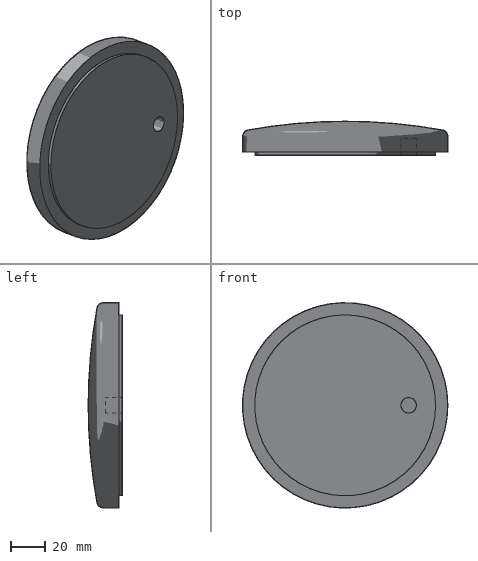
import cadquery as cq
import math

outer_radius = 120 / 2
total_thickness = 20.0

plate_radius = 105.6 / 2
plate_height = 2.0

rim_height = 9.0
edge_round = 4.0

hole_diameter = 9.0
hole_offset = 37.1
hole_depth = 10.0

rim_top = plate_height + rim_height
round_center = outer_radius - edge_round
apex_rise = total_thickness - rim_top
dome_radius = (round_center**2 + apex_rise**2 - edge_round**2) / (2 * (apex_rise - edge_round))
tangent_angle = math.asin(round_center / (dome_radius - edge_round))


def point_on_round(angle_from_axis):
    """Point of the edge round at an angle measured from the +Y direction."""
    return (
        round_center + edge_round * math.sin(angle_from_axis),
        rim_top + edge_round * math.cos(angle_from_axis),
    )


def point_on_dome(angle_from_axis):
    """Point of the dome at an angle measured from the +Y direction."""
    return (
        dome_radius * math.sin(angle_from_axis),
        total_thickness - dome_radius * (1 - math.cos(angle_from_axis)),
    )


def make_disc():
    """Revolve the half section of plate, rim and dome about the Y axis."""
    round_middle = point_on_round((tangent_angle + math.pi / 2) / 2)
    return (
        cq.Workplane("XY")
        .moveTo(0, 0)
        .lineTo(plate_radius, 0)
        .lineTo(plate_radius, plate_height)
        .lineTo(outer_radius, plate_height)
        .lineTo(outer_radius, rim_top)
        .threePointArc(round_middle, point_on_round(tangent_angle))
        .threePointArc(point_on_dome(tangent_angle / 2), (0, total_thickness))
        .close()
        .revolve(360, (0, 0, 0), (0, 1, 0))
    )


def make_hole():
    """Cylinder entering the plate face towards +Y."""
    return (
        cq.Workplane("XZ")
        .center(hole_offset, 0)
        .circle(hole_diameter / 2)
        .extrude(-hole_depth)
    )


result = make_disc().cut(make_hole())